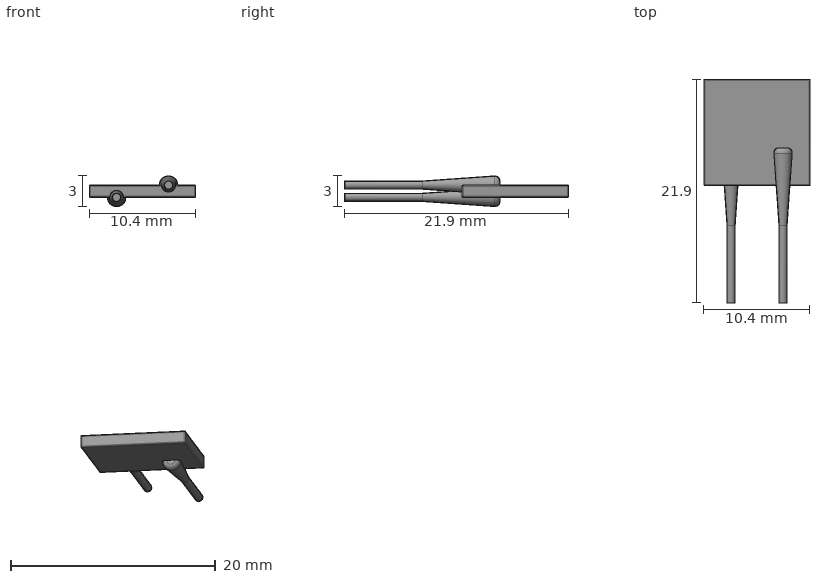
import cadquery as cq

body_side = 10.4
body_thickness = 1.2
body_edge_round = 0.12

lead_pitch = 5.08
lead_radius = 0.4
lead_exposed_length = 11.5

sleeve_root_radius = 0.935
sleeve_root_round = 0.5
sleeve_inside_length = 3.7
sleeve_outside_length = 3.9

body_front = -body_side / 2
lead_tip = body_front - lead_exposed_length
sleeve_tip = body_front - sleeve_outside_length
sleeve_root = body_front + sleeve_inside_length


def make_body():
    """Square plate with every edge slightly rounded."""
    plate = cq.Workplane("XY").box(body_side, body_side, body_thickness)
    return plate.edges().fillet(body_edge_round)


def make_lead(x, z):
    """Lead and its tapered sleeve, turned about an axis parallel to Y."""
    profile = [
        (lead_tip, 0),
        (lead_tip, lead_radius),
        (sleeve_tip, lead_radius),
        (sleeve_root, sleeve_root_radius),
        (sleeve_root, 0),
    ]
    lead = cq.Workplane("YZ").polyline(profile).close().revolve(360, (0, 0, 0), (1, 0, 0))
    lead = lead.faces(">Y").edges().fillet(sleeve_root_round)
    return lead.translate((x, 0, z))


result = make_body()
for side in (-1, 1):
    result = result.union(make_lead(side * lead_pitch / 2, side * body_thickness / 2))